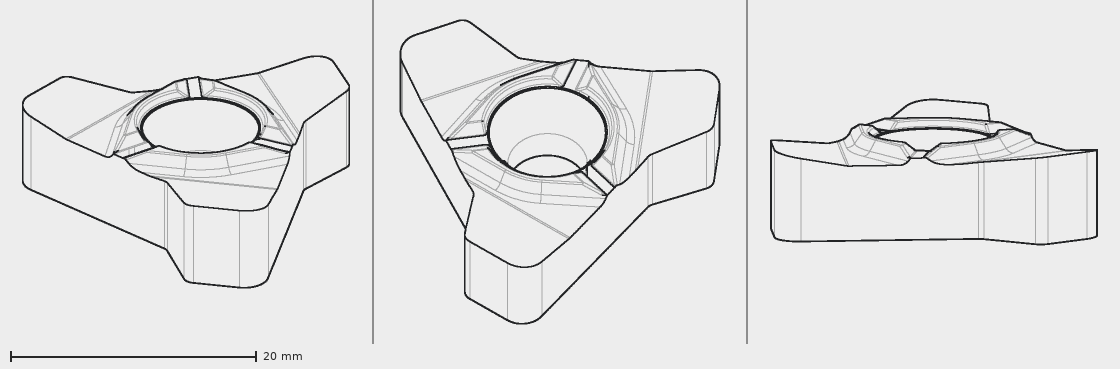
import cadquery as cq
import math

ARM_COUNT = 3
ARM_PITCH = 360 / ARM_COUNT

SIDE_DISTANCE = 7.9375
ARM_REACH = 13.45
FLANK_ANGLE = 62.0
NOTCH_HEIGHT = 8.52
NOSE_RADIUS = 2.0
TIP_RADIUS = 1.0
NOTCH_RADIUS = 0.8

TOP_HEIGHT = 7.5
ARM_END_HEIGHT = 7.25
FLOOR_HEIGHT = 6.22
RAMP_ANGLE = 10.0
RAMP_BLEND_RADIUS = 1.0
RAMP_OVERLAP = 0.3

BOSS_RADIUS = 5.8
BOSS_WALL_ANGLE = 55.0
BOSS_FOOT_RADIUS = 0.8
BOSS_ARC_ANGLE = 32.0
EDGE_RADIUS = 0.2

HOLE_RADIUS = 3.25
BOWL_START_HEIGHT = 2.8
BOWL_TOP_RADIUS = 4.8
BOWL_ARC_RADIUS = 8.4
BOWL_RIM_RADIUS = 0.15
SEAT_RADIUS = 5.3
SEAT_WALL_ANGLE = 68.0

SLOT_FLOOR_HEIGHT = 6.8
SLOT_FLOOR_WIDTH = 1.12
SLOT_TOP_WIDTH = 3.0
FIRST_SLOT_ANGLE = 90 + (BOSS_ARC_ANGLE - ARM_PITCH) / 2

SLACK = 0.001
OUTSIDE = 20.0


def tan(degrees):
    return math.tan(math.radians(degrees))


def polar(radius, degrees):
    angle = math.radians(degrees)
    return (radius * math.cos(angle), radius * math.sin(angle))


def rounded_outline(workplane, corners):
    """Closed wire through (x, y, corner radius) points, each corner rounded by its radius."""
    stretches = []
    for i, (x, y, radius) in enumerate(corners):
        before = cq.Vector(*corners[i - 1][:2])
        after = cq.Vector(*corners[(i + 1) % len(corners)][:2])
        corner = cq.Vector(x, y)
        if radius == 0:
            stretches.append((corner,))
            continue
        to_before = (before - corner).normalized()
        to_after = (after - corner).normalized()
        half_angle = to_before.getAngle(to_after) / 2
        setback = radius / math.tan(half_angle)
        inward = (to_before + to_after).normalized()
        nearest = corner + inward * (radius / math.sin(half_angle) - radius)
        stretches.append((corner + to_before * setback, nearest, corner + to_after * setback))
    wire = workplane.moveTo(*stretches[0][-1].toTuple()[:2])
    for stretch in stretches[1:] + stretches[:1]:
        wire = wire.lineTo(*stretch[0].toTuple()[:2])
        if len(stretch) > 1:
            wire = wire.threePointArc(stretch[1].toTuple()[:2], stretch[2].toTuple()[:2])
    return wire.wire()


def repeated(shape):
    """The shape joined with its copies at every arm."""
    joined = shape
    for i in range(1, ARM_COUNT):
        joined = joined.union(shape.rotate((0, 0, 0), (0, 0, 1), i * ARM_PITCH))
    return joined


def blank():
    """Full-height prism of the three-armed plan outline."""
    side_normal_x, side_normal_y = polar(1, ARM_PITCH / 2)
    notch_x = (SIDE_DISTANCE - NOTCH_HEIGHT * side_normal_y) / side_normal_x
    tip_x = notch_x - (ARM_REACH - NOTCH_HEIGHT) / tan(FLANK_ANGLE)
    arm = [
        (notch_x, NOTCH_HEIGHT, NOTCH_RADIUS),
        (tip_x, ARM_REACH, TIP_RADIUS),
        (-SIDE_DISTANCE, ARM_REACH, NOSE_RADIUS),
    ]
    corners = []
    for i in range(ARM_COUNT):
        for x, y, radius in arm:
            direction = math.degrees(math.atan2(y, x)) + i * ARM_PITCH
            corners.append((*polar(math.hypot(x, y), direction), radius))
    return rounded_outline(cq.Workplane("XY"), corners).extrude(TOP_HEIGHT)


def boss_sector():
    """One third of the flat floor with its boss lobe, cut off at the slot directions."""
    boss_height = TOP_HEIGHT - FLOOR_HEIGHT
    foot = BOSS_RADIUS + boss_height / tan(BOSS_WALL_ANGLE)
    section = [
        (0, 0, 0),
        (OUTSIDE, 0, 0),
        (OUTSIDE, FLOOR_HEIGHT, 0),
        (foot, FLOOR_HEIGHT, BOSS_FOOT_RADIUS),
        (BOSS_RADIUS, TOP_HEIGHT, 0),
        (0, TOP_HEIGHT, 0),
    ]
    arc = rounded_outline(cq.Workplane("XZ"), section).revolve(BOSS_ARC_ANGLE, (0, 0), (0, 1))
    arc = arc.rotate((0, 0, 0), (0, 0, 1), 90)
    first = rounded_outline(cq.Workplane("YZ"), section).extrude(OUTSIDE)
    last = rounded_outline(cq.Workplane("YZ"), section).extrude(-OUTSIDE)
    last = last.rotate((0, 0, 0), (0, 0, 1), BOSS_ARC_ANGLE)
    lobe = arc.union(first).union(last)
    end_angle = FIRST_SLOT_ANGLE + ARM_PITCH
    middle_angle = FIRST_SLOT_ANGLE + ARM_PITCH / 2
    sector = (
        cq.Workplane("XY")
        .polyline([
            (0, 0),
            polar(OUTSIDE, FIRST_SLOT_ANGLE),
            polar(2 * OUTSIDE, middle_angle),
            polar(OUTSIDE, end_angle),
        ])
        .close()
        .extrude(TOP_HEIGHT)
    )
    return lobe.intersect(sector)


def ramp():
    """Ground under the sloping face of the +Y arm, rising outward from the floor."""
    rise = ARM_END_HEIGHT - FLOOR_HEIGHT
    start = ARM_REACH - rise / tan(RAMP_ANGLE)
    section = [
        (start - RAMP_OVERLAP, 0, 0),
        (OUTSIDE, 0, 0),
        (OUTSIDE, FLOOR_HEIGHT + (OUTSIDE - start) * tan(RAMP_ANGLE), 0),
        (start, FLOOR_HEIGHT, RAMP_BLEND_RADIUS),
        (start - RAMP_OVERLAP, FLOOR_HEIGHT, 0),
    ]
    return rounded_outline(cq.Workplane("YZ"), section).extrude(OUTSIDE, both=True)


def seat_and_hole():
    """Screw hole, trumpet-shaped bowl above it, and the conical seat in the boss top."""
    seat_depth = TOP_HEIGHT - SLOT_FLOOR_HEIGHT
    seat_floor = SEAT_RADIUS - seat_depth / tan(SEAT_WALL_ANGLE)
    start = cq.Vector(HOLE_RADIUS, BOWL_START_HEIGHT)
    end = cq.Vector(BOWL_TOP_RADIUS, SLOT_FLOOR_HEIGHT)
    chord = end - start
    sagitta = BOWL_ARC_RADIUS - math.sqrt(BOWL_ARC_RADIUS ** 2 - (chord.Length / 2) ** 2)
    toward_axis = cq.Vector(-chord.y, chord.x).normalized()
    middle = (start + end) * 0.5 + toward_axis * sagitta
    cutter = (
        cq.Workplane("XZ")
        .moveTo(0, 0)
        .lineTo(HOLE_RADIUS, 0)
        .lineTo(HOLE_RADIUS, BOWL_START_HEIGHT)
        .threePointArc((middle.x, middle.y), (end.x, end.y))
        .lineTo(seat_floor, SLOT_FLOOR_HEIGHT)
        .lineTo(SEAT_RADIUS, TOP_HEIGHT)
        .lineTo(0, TOP_HEIGHT)
        .close()
        .revolve(360, (0, 0), (0, 1))
    )
    bowl_rim = cq.selectors.BoxSelector(
        (-end.x - SLACK, -end.x - SLACK, SLOT_FLOOR_HEIGHT - SLACK),
        (end.x + SLACK, end.x + SLACK, SLOT_FLOOR_HEIGHT + SLACK),
        boundingbox=True,
    )
    return cutter.edges(bowl_rim).fillet(BOWL_RIM_RADIUS)


def slot():
    """Flared radial slot along the first slot direction."""
    section = [
        (-SLOT_FLOOR_WIDTH / 2, SLOT_FLOOR_HEIGHT),
        (SLOT_FLOOR_WIDTH / 2, SLOT_FLOOR_HEIGHT),
        (SLOT_TOP_WIDTH / 2, TOP_HEIGHT),
        (-SLOT_TOP_WIDTH / 2, TOP_HEIGHT),
    ]
    cutter = cq.Workplane("YZ").polyline(section).close().extrude(OUTSIDE)
    return cutter.rotate((0, 0, 0), (0, 0, 1), FIRST_SLOT_ANGLE)


def round_small_edges(boss):
    """Round the edges of the boss top, the seat and the slots."""

    def from_axis(edge):
        middle = edge.positionAt(0.5)
        return math.hypot(middle.x, middle.y)

    def lowest(edge):
        return min(edge.startPoint().z, edge.endPoint().z)

    def highest(edge):
        return max(edge.startPoint().z, edge.endPoint().z)

    def is_on_boss(edge):
        inside = BOWL_TOP_RADIUS + SLACK < from_axis(edge) < SIDE_DISTANCE
        return inside and lowest(edge) > SLOT_FLOOR_HEIGHT - SLACK

    edges = boss.edges().filter(is_on_boss)
    upper = edges.filter(lambda edge: highest(edge) > TOP_HEIGHT - SLACK).vals()
    foot = edges.filter(lambda edge: highest(edge) < SLOT_FLOOR_HEIGHT + SLACK).vals()
    return boss.newObject(upper + foot).fillet(EDGE_RADIUS)


ground = repeated(boss_sector())
boss = round_small_edges(ground.cut(repeated(slot())).cut(seat_and_hole()))
result = boss.union(repeated(ramp())).intersect(blank())